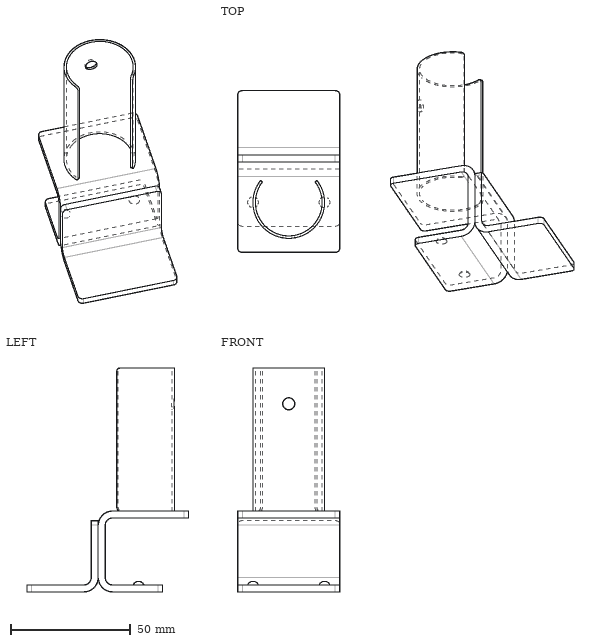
import cadquery as cq
import math

total_height = 94.0
width = 43.0
sheet = 3.0
inner_bend = 3.0
outer_bend = inner_bend + sheet
corner_radius = 2.0

tube_length = 60.0
front_height = total_height - tube_length
top_reach = 38.0
bottom_reach = 27.0

rear_height = 30.0
foot_reach = 30.0

bump_sphere_radius = 2.4
bump_height = 1.5
bump_spacing = 30.0
bump_y = -16.9

tube_radius = 15.0
tube_wall = 1.0
tube_center_y = -17.0
slit_edge_angle = 38.0
slit_corner_radius = 1.5
pin_hole_diameter = 5.0
pin_hole_drop = 15.0


def sheet_profile(points):
    """Closed YZ outline extruded over the bracket width, centred on X."""
    return cq.Workplane("YZ").polyline(points).close().extrude(width / 2, both=True)


def round_bend(bracket, y, z, radius):
    """Round the X-parallel edge that passes through (y, z)."""
    size = sheet / 10
    low = (-width, y - size, z - size)
    high = (width, y + size, z + size)
    return bracket.edges(cq.selectors.BoxSelector(low, high)).fillet(radius)


def make_bump(x):
    """Spherical cap with its base on the lower flange."""
    center_z = sheet + bump_height - bump_sphere_radius
    ball = cq.Workplane("XY").sphere(bump_sphere_radius).translate((x, bump_y, center_z))
    keep_size = 2 * bump_sphere_radius
    keep = (
        cq.Workplane("XY")
        .box(keep_size, keep_size, keep_size, centered=(True, True, False))
        .translate((x, bump_y, sheet))
    )
    return ball.intersect(keep)


def make_front_bracket():
    bracket = sheet_profile([
        (0, 0),
        (0, front_height),
        (-top_reach, front_height),
        (-top_reach, front_height - sheet),
        (-sheet, front_height - sheet),
        (-sheet, sheet),
        (-bottom_reach, sheet),
        (-bottom_reach, 0),
    ])
    bracket = round_bend(bracket, 0, 0, outer_bend)
    bracket = round_bend(bracket, 0, front_height, outer_bend)
    bracket = round_bend(bracket, -sheet, sheet, inner_bend)
    bracket = round_bend(bracket, -sheet, front_height - sheet, inner_bend)
    bracket = bracket.faces("<Y").edges("|Z").fillet(corner_radius)
    lower_end = cq.selectors.BoxSelector(
        (-width, -bottom_reach - sheet / 2, -sheet),
        (width, -bottom_reach + sheet / 2, 2 * sheet),
    )
    bracket = bracket.edges(lower_end).edges("|Z").fillet(corner_radius)
    for x in (-bump_spacing / 2, bump_spacing / 2):
        bracket = bracket.union(make_bump(x))
    return bracket


def make_rear_bracket():
    bracket = sheet_profile([
        (0, 0),
        (0, rear_height),
        (sheet, rear_height),
        (sheet, sheet),
        (foot_reach, sheet),
        (foot_reach, 0),
    ])
    bracket = round_bend(bracket, 0, 0, outer_bend)
    bracket = round_bend(bracket, sheet, sheet, inner_bend)
    bracket = bracket.faces(">Y").edges("|Z").fillet(corner_radius)
    return bracket.faces(">Z").edges("|Y").fillet(corner_radius)


def make_split_tube():
    tube = (
        cq.Workplane("XY")
        .circle(tube_radius)
        .circle(tube_radius - tube_wall)
        .extrude(tube_length)
    )
    wedge_y = 2 * tube_radius
    wedge_x = wedge_y / math.tan(math.radians(slit_edge_angle))
    wedge = (
        cq.Workplane("XY")
        .polyline([(0, 0), (wedge_x, wedge_y), (-wedge_x, wedge_y)])
        .close()
        .extrude(tube_length)
    )
    tube = tube.cut(wedge)
    edge_radius = tube_radius - tube_wall / 2
    edge_x = edge_radius * math.cos(math.radians(slit_edge_angle))
    edge_y = edge_radius * math.sin(math.radians(slit_edge_angle))
    for x in (-edge_x, edge_x):
        for z in (0, tube_length):
            corner = cq.selectors.NearestToPointSelector((x, edge_y, z))
            tube = tube.edges(corner).fillet(slit_corner_radius)
    pin_hole = (
        cq.Workplane("XZ")
        .center(0, tube_length - pin_hole_drop)
        .circle(pin_hole_diameter / 2)
        .extrude(2 * tube_radius)
    )
    return tube.cut(pin_hole).translate((0, tube_center_y, front_height))


front_bracket = make_front_bracket().solids()
rear_bracket = make_rear_bracket().solids()
split_tube = make_split_tube().solids()

result = cq.Compound.makeCompound([front_bracket.val(), rear_bracket.val(), split_tube.val()])